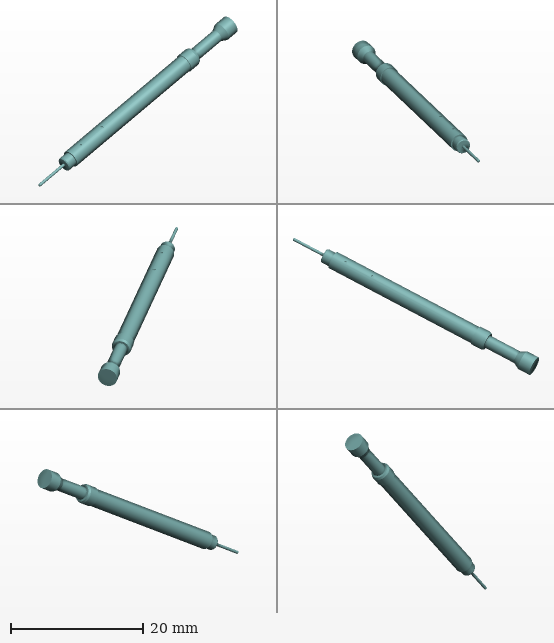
import cadquery as cq

total_length = 42.3
head_end = total_length / 2
pin_end = -total_length / 2

head_radius = 1.5
neck_radius = 0.995
collar_radius = head_radius
barrel_radius = 1.375
plug_radius = 1.15
pin_radius = 0.233

head_length = 1.95
cone_length = 1.0
neck_length = 5.2
collar_length = 2.05
barrel_length = 25.1
plug_length = 1.52

collar_chamfer_length = 0.4
collar_chamfer_height = 0.15
plug_chamfer_length = 0.15
plug_chamfer_height = 0.1
pin_chamfer = 0.13

dimple_diameter = 0.42
dimple_depth = 0.13
dimple_offsets = (2.2, 6.9)

cone_start = head_end - head_length
neck_start = cone_start - cone_length
collar_start = neck_start - neck_length
barrel_start = collar_start - collar_length
plug_start = barrel_start - barrel_length
pin_start = plug_start - plug_length


def make_body():
    """Revolve the half outline, given as (radius, y), about the Y axis."""
    outline = [
        (0, head_end),
        (head_radius, head_end),
        (head_radius, cone_start),
        (neck_radius, neck_start),
        (neck_radius, collar_start),
        (collar_radius - collar_chamfer_height, collar_start),
        (collar_radius, collar_start - collar_chamfer_length),
        (collar_radius, barrel_start),
        (barrel_radius, barrel_start),
        (barrel_radius, plug_start),
        (plug_radius, plug_start),
        (plug_radius, pin_start + plug_chamfer_length),
        (plug_radius - plug_chamfer_height, pin_start),
        (pin_radius, pin_start),
        (pin_radius, pin_end + pin_chamfer),
        (pin_radius - pin_chamfer, pin_end),
        (0, pin_end),
    ]
    return cq.Workplane("XY").polyline(outline).close().revolve(360, (0, 0, 0), (0, 1, 0))


def make_dimples():
    """Small blind round holes sunk from the top of the barrel."""
    centers = [(0, plug_start + offset) for offset in dimple_offsets]
    return (
        cq.Workplane("XY")
        .workplane(offset=barrel_radius - dimple_depth)
        .pushPoints(centers)
        .circle(dimple_diameter / 2)
        .extrude(2 * dimple_depth)
    )


result = make_body().cut(make_dimples())